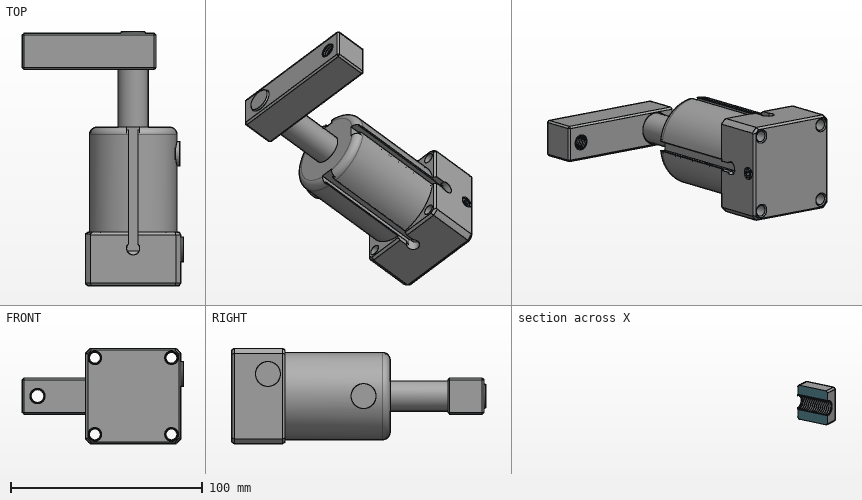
import cadquery as cq
import math


block_side = 50.0
block_depth = 28.0
block_corner_radius = 33.5
block_edge_axial = 1.0
block_edge_radial = 1.5
barrel_diameter = 46.0
barrel_end = 83.0
barrel_fillet = 4.0

mount_spacing = 40.0
mount_diameter = 5.7
mount_chamfer = 0.7

slot_mouth_width = 5.0
slot_channel_width = 6.8
slot_lip = 1.0
slot_floor_depth = 5.0
slot_end_centre = 19.5
slot_ramp_start = 18.1
slot_angles = (0, 90, 180)

rod_diameter = 16.0
rod_end_in_arm = 7.0
rod_socket_chamfer = 0.5

arm_length = 70.0
arm_height = 19.0
arm_thickness = 19.0
arm_start = 113.0
arm_overhang = 12.0
arm_chamfer = 1.0
tip_hole_distance = 50.0

insert_diameter = 8.0
insert_bore = 6.6
insert_root = 7.7
insert_pitch = 1.25

screw_head_diameter = 13.0
screw_head_depth = 7.0
screw_head_taper = 0.47
screw_shank_diameter = 8.0
screw_shank_length = 16.0
total_length = 133.0

plug_diameter = 13.0
plug_thickness = 2.7
barrel_plug = (24.5, 69.0, 0.0)
block_plug = (26.2, 19.0, 11.6)

vent_position = 4.9
vent_diameter = 5.3
vent_length = 6.0
vent_chamfer = 0.5
vent_socket_across_flats = 2.4
vent_socket_depth = 1.6
vent_socket_point_depth = 0.7

barrel_radius = barrel_diameter / 2
arm_end = arm_start + arm_thickness
screw_seat = arm_end - screw_head_depth
rod_start = block_depth
rod_end = arm_start + rod_end_in_arm
vent_face = -block_side / 2


def y_cylinder(diameter, start, end, x=0, z=0):
    """Cylinder parallel to Y from y = start to y = end."""
    return cq.Workplane("XZ", origin=(x, start, z)).circle(diameter / 2).extrude(start - end)


def y_cone(start_diameter, start, end, x=0, z=0):
    """45 degree countersink that narrows from y = start to y = end."""
    depth = end - start
    cone = cq.Solid.makeCone(
        start_diameter / 2, start_diameter / 2 - depth, depth, cq.Vector(x, start, z), cq.Vector(0, 1, 0)
    )
    return cq.Workplane(obj=cone)


def x_cylinder(diameter, start, end, y=0, z=0):
    """Cylinder parallel to X from x = start to x = end."""
    return cq.Workplane("YZ", origin=(start, y, z)).circle(diameter / 2).extrude(end - start)


def flange_block():
    block = cq.Workplane("XY").box(block_side, block_depth, block_side).translate((0, block_depth / 2, 0))
    block = block.intersect(y_cylinder(2 * block_corner_radius, 0, block_depth))
    solid = block.val()
    for face in ("<Y", ">Y"):
        end_face = cq.Workplane(obj=solid).faces(face)
        solid = solid.chamfer(block_edge_axial, block_edge_radial, end_face.edges().vals())
    return cq.Workplane(obj=solid)


def barrel():
    body = y_cylinder(barrel_diameter, block_depth / 2, barrel_end)
    return body.faces(">Y").edges().fillet(barrel_fillet)


def sensor_slot():
    """Cutter for one sensor slot, placed on the +Z side and open at the barrel end."""
    floor = barrel_radius - slot_floor_depth
    lip_bottom = barrel_radius - slot_lip
    top = block_side / 2
    run = barrel_end - slot_end_centre

    def bar(width, bottom, height):
        return (
            cq.Workplane("XY", origin=(0, slot_end_centre + run / 2, bottom)).rect(width, run).extrude(height)
        )

    mouth = bar(slot_mouth_width, floor, top - floor)
    channel = bar(slot_channel_width, floor, lip_bottom - floor)
    end_hole = (
        cq.Workplane("XY", origin=(0, slot_end_centre, floor))
        .circle(slot_channel_width / 2)
        .extrude(top - floor)
    )
    ramp_run = slot_ramp_start - (slot_end_centre - slot_channel_width / 2)
    ramp = (
        cq.Workplane("YZ", origin=(-slot_channel_width / 2, slot_ramp_start, floor))
        .polyline([(0, 0), (-ramp_run, 0), (-ramp_run, ramp_run)])
        .close()
        .extrude(slot_channel_width)
    )
    return mouth.union(channel).union(end_hole).cut(ramp)


def mounting_hole(x, z):
    hole = y_cylinder(mount_diameter, 0, block_depth, x, z)
    return hole.union(y_cone(mount_diameter + 2 * mount_chamfer, 0, mount_chamfer, x, z))


def make_housing():
    body = flange_block().union(barrel())
    for angle in slot_angles:
        body = body.cut(sensor_slot().rotate((0, 0, 0), (0, 1, 0), -angle))
    for x in (-mount_spacing / 2, mount_spacing / 2):
        for z in (-mount_spacing / 2, mount_spacing / 2):
            body = body.cut(mounting_hole(x, z))
    body = body.cut(y_cylinder(rod_diameter, rod_start, barrel_end))
    for face_centre in (barrel_plug, block_plug):
        body = body.cut(make_plug(face_centre))
    body = body.cut(vent_cylinder())
    return body.cut(vent_countersink())


def make_rod():
    rod = y_cylinder(rod_diameter, rod_start, rod_end)
    return rod.cut(screw_shank())


def make_arm():
    left = arm_overhang - arm_length
    arm = (
        cq.Workplane("XY")
        .box(arm_length, arm_thickness, arm_height)
        .edges()
        .chamfer(arm_chamfer)
        .translate((left + arm_length / 2, arm_start + arm_thickness / 2, 0))
    )
    arm = arm.cut(y_cylinder(rod_diameter, arm_start, rod_end))
    arm = arm.cut(y_cone(rod_diameter + 2 * rod_socket_chamfer, arm_start, arm_start + rod_socket_chamfer))
    arm = arm.cut(screw_shank())
    arm = arm.cut(y_cylinder(screw_head_diameter, screw_seat, arm_end))
    return arm.cut(y_cylinder(insert_diameter, arm_start, arm_end, -tip_hole_distance))


def make_arm_insert():
    """Sleeve through the arm tip with a V groove per thread pitch, revolved about its own axis."""
    groove_count = math.floor(arm_thickness / insert_pitch)
    first_groove = arm_start + (arm_thickness - groove_count * insert_pitch) / 2
    outer, crest, root = insert_diameter / 2, insert_bore / 2, insert_root / 2
    profile = [(outer, arm_end), (outer, arm_start), (crest, arm_start)]
    for i in range(groove_count):
        groove_start = first_groove + i * insert_pitch
        profile.append((crest, groove_start))
        profile.append((root, groove_start + insert_pitch / 2))
    profile.append((crest, first_groove + groove_count * insert_pitch))
    profile.append((crest, arm_end))
    sleeve = cq.Workplane("XY").polyline(profile).close().revolve(360, (0, 0), (0, 1))
    return sleeve.translate((-tip_hole_distance, 0, 0))


def screw_shank():
    return y_cylinder(screw_shank_diameter, screw_seat - screw_shank_length, screw_seat)


def make_arm_screw():
    head = y_cylinder(screw_head_diameter, screw_seat, arm_end)
    radius = screw_head_diameter / 2
    tip = cq.Solid.makeCone(
        radius,
        radius - screw_head_taper,
        total_length - arm_end,
        cq.Vector(0, arm_end, 0),
        cq.Vector(0, 1, 0),
    )
    return head.union(cq.Workplane(obj=tip)).union(screw_shank())


def make_plug(face_centre):
    x, y, z = face_centre
    return x_cylinder(plug_diameter, x - plug_thickness, x, y, z)


def vent_cylinder():
    return x_cylinder(vent_diameter, vent_face, vent_face + vent_length, vent_position)


def vent_countersink():
    cone = cq.Solid.makeCone(
        vent_diameter / 2 + vent_chamfer,
        vent_diameter / 2,
        vent_chamfer,
        cq.Vector(vent_face, vent_position, 0),
        cq.Vector(1, 0, 0),
    )
    return cq.Workplane(obj=cone)


def make_vent_screw():
    socket_diameter = vent_socket_across_flats / math.cos(math.pi / 6)
    socket = (
        cq.Workplane("YZ", origin=(vent_face, vent_position, 0))
        .polygon(6, socket_diameter)
        .extrude(vent_socket_depth)
    )
    point = cq.Solid.makeCone(
        vent_socket_across_flats / 2,
        0,
        vent_socket_point_depth,
        cq.Vector(vent_face + vent_socket_depth, vent_position, 0),
        cq.Vector(1, 0, 0),
    )
    screw = vent_cylinder().faces("<X").edges().chamfer(vent_chamfer)
    return screw.cut(socket).cut(cq.Workplane(obj=point))


housing = make_housing()
rod = make_rod()
arm = make_arm()
arm_insert = make_arm_insert()
arm_screw = make_arm_screw()
plugs = [make_plug(face_centre) for face_centre in (barrel_plug, block_plug)]
vent_screw = make_vent_screw()

result = cq.Compound.makeCompound(
    [
        housing.val(),
        rod.val(),
        arm.val(),
        arm_insert.val(),
        arm_screw.val(),
        *[plug.val() for plug in plugs],
        vent_screw.val(),
    ]
)